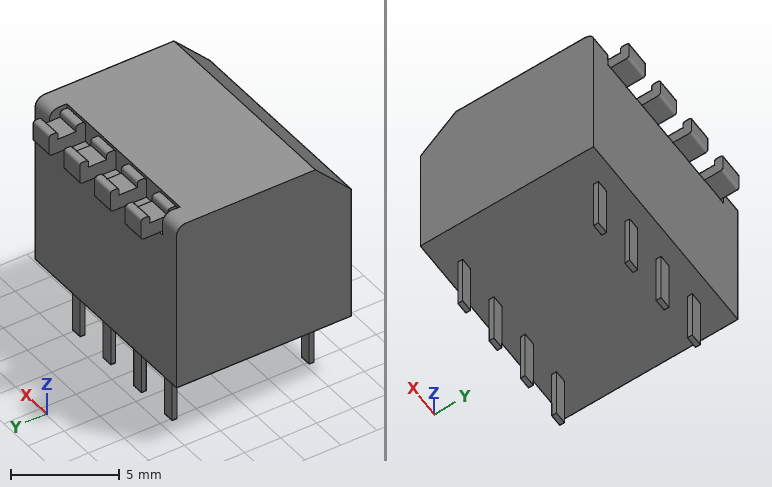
import cadquery as cq
import math

body_width = 11.7
overall_depth = 10.75
overall_height = 12.8

lever_overhang = 1.04
body_depth = overall_depth - lever_overhang
pin_length = 3.4
body_height = overall_height - pin_length
front_chamfer = 2.0
back_radius = 0.54
back_y = body_depth / 2

slot_width = 9.35
slot_depth = 0.97
lever_width = 1.32
lever_height = 1.2
lever_round = 0.15
hook_length = 0.49
hook_height = 0.42
heel_length = 0.51
heel_height = 0.37

positions = 4
pitch = 2.53
pin_row_spacing = 7.62
pin_width = 0.65
pin_thickness = 0.27

column_xs = [(i - (positions - 1) / 2) * pitch for i in range(positions)]
slot_wall_y = back_y - slot_depth
slot_floor_z = body_height - lever_height


def make_housing():
    """Block with a chamfered front top edge, a rounded back top edge and the lever slot."""
    block = cq.Workplane("XY").box(body_width, body_depth, body_height, centered=(True, True, False))
    block = block.faces(">Z").edges("<Y").chamfer(front_chamfer)
    block = block.faces(">Z").edges(">Y").fillet(back_radius)
    slot = (
        cq.Workplane("XY", origin=(0, slot_wall_y, slot_floor_z))
        .box(slot_width, slot_depth, lever_height, centered=(True, False, False))
    )
    return block.cut(slot)


def make_lever(x):
    """Lever with an upturned hook at its tip and a raised heel against the slot wall."""
    tip_y = back_y + lever_overhang
    hook_y = tip_y - hook_length
    heel_y = slot_wall_y + heel_length
    arm_z = body_height - hook_height
    heel_z = arm_z + heel_height
    r = lever_round
    mid = r * (1 - math.cos(math.pi / 4))
    profile = (
        cq.Workplane("YZ", origin=(x - lever_width / 2, 0, 0))
        .moveTo(slot_wall_y, slot_floor_z)
        .lineTo(tip_y - r, slot_floor_z)
        .threePointArc((tip_y - mid, slot_floor_z + mid), (tip_y, slot_floor_z + r))
        .lineTo(tip_y, body_height - r)
        .threePointArc((tip_y - mid, body_height - mid), (tip_y - r, body_height))
        .lineTo(hook_y + r, body_height)
        .threePointArc((hook_y + mid, body_height - mid), (hook_y, body_height - r))
        .lineTo(hook_y, arm_z)
        .lineTo(heel_y, arm_z)
        .lineTo(heel_y, heel_z - r)
        .threePointArc((heel_y - mid, heel_z - mid), (heel_y - r, heel_z))
        .lineTo(slot_wall_y + r, heel_z)
        .threePointArc((slot_wall_y + mid, heel_z - mid), (slot_wall_y, heel_z - r))
        .close()
    )
    return profile.extrude(lever_width)


def make_pin(x, y):
    """Flat pin hanging from the bottom face."""
    return (
        cq.Workplane("XY", origin=(x, y, -pin_length))
        .box(pin_width, pin_thickness, pin_length, centered=(True, True, False))
    )


result = make_housing()
for column_x in column_xs:
    result = result.union(make_lever(column_x))
    for row_y in (-pin_row_spacing / 2, pin_row_spacing / 2):
        result = result.union(make_pin(column_x, row_y))